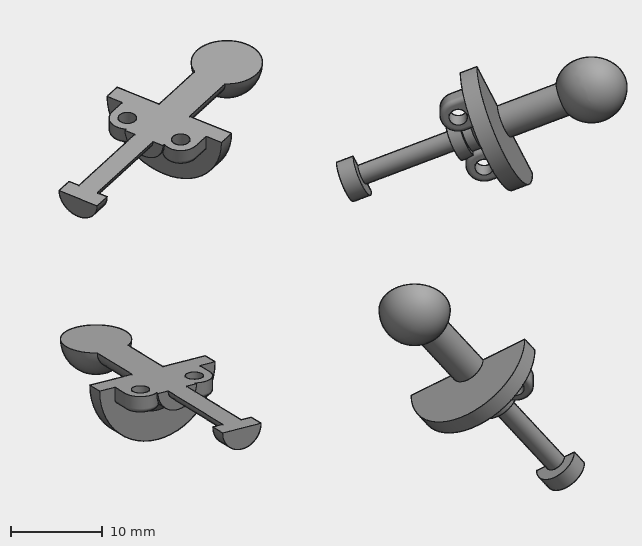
import cadquery as cq


flange_radius = 7.5
flange_thickness = 2.0
flange_front = -flange_thickness

ball_radius = 3.9
stem_radius = 2.0
stem_length = 7.0
ball_center = stem_length + (ball_radius**2 - stem_radius**2) ** 0.5

lug_radius = 2.0
lug_offset = 3.5
lug_height = 2.0
lug_edge_fillet = 0.5
lug_hole_radius = 1.0
lug_hole_y = flange_front - lug_radius
lug_front = lug_hole_y - lug_radius

cone_radius = 4.0
cone_tip_radius = 1.2
cone_length = 2.0
collar_radius = 2.5
collar_thickness = 1.5

rod_radius = 1.2
rod_length = 11.0
foot_radius = 2.5
foot_thickness = 2.0
rod_end = lug_front - rod_length
tail_end = rod_end - foot_thickness


def axial_cylinder(radius, y_start, y_end):
    """Cylinder around the Y axis from y_start back to y_end."""
    sketch = cq.Workplane("XZ", origin=(0, y_start, 0)).circle(radius)
    return sketch.extrude(y_start - y_end)


def ball():
    """Full ball on the part's axis at the back end of the stem."""
    return cq.Workplane("XY").sphere(ball_radius).translate((0, ball_center, 0))


def cone():
    """Cone that braces the front face of the flange."""
    solid = cq.Solid.makeCone(
        cone_radius,
        cone_tip_radius,
        cone_length,
        pnt=cq.Vector(0, flange_front, 0),
        dir=cq.Vector(0, -1, 0),
    )
    return cq.Workplane(obj=solid)


def lug(side):
    """Round-ended lug hanging below the top plane, with its lower rim rounded."""
    center = side * lug_offset
    inner = center - lug_radius
    outer = center + lug_radius
    outline = (
        cq.Workplane("XY")
        .moveTo(inner, flange_front)
        .lineTo(inner, lug_hole_y)
        .threePointArc((center, lug_front), (outer, lug_hole_y))
        .lineTo(outer, flange_front)
        .close()
    )
    return outline.extrude(-lug_height).faces("<Z").edges("not |X").fillet(lug_edge_fillet)


def lug_holes():
    """Vertical cylinders that pass through both lugs."""
    centers = [(-lug_offset, lug_hole_y), (lug_offset, lug_hole_y)]
    return cq.Workplane("XY").pushPoints(centers).circle(lug_hole_radius).extrude(-lug_height)


def lower_half():
    """Block that keeps only the material below the flat top plane."""
    width = 2 * flange_radius
    back = ball_center + ball_radius
    corner = (-flange_radius, tail_end, -flange_radius)
    block = cq.Workplane("XY").box(width, back - tail_end, flange_radius, centered=False)
    return block.translate(corner)


body = (
    ball()
    .union(axial_cylinder(stem_radius, ball_center, lug_front))
    .union(axial_cylinder(flange_radius, 0, flange_front))
    .union(cone())
    .union(axial_cylinder(collar_radius, lug_front + collar_thickness, lug_front))
    .union(axial_cylinder(rod_radius, lug_front, rod_end))
    .union(axial_cylinder(foot_radius, rod_end, tail_end))
    .intersect(lower_half())
    .union(lug(-1))
    .union(lug(1))
)

result = body.cut(lug_holes())